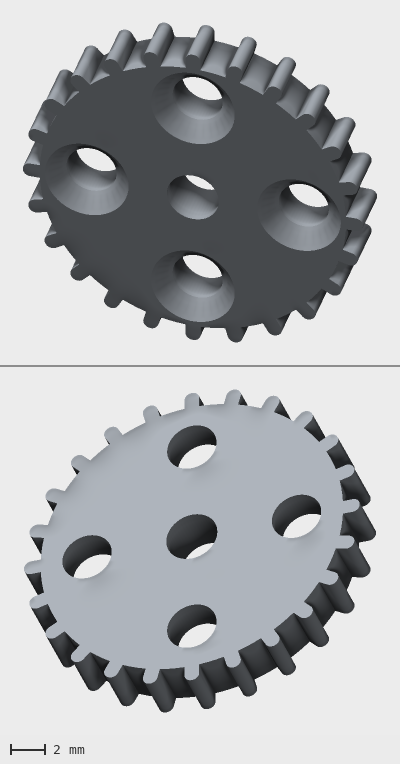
import cadquery as cq

TIP_DIAMETER = 20.35
THICKNESS = 3.0
BODY_DIAMETER = 18.35

TOOTH_COUNT = 24
TOOTH_WIDTH = 0.9
TOOTH_CORNER_RADIUS = 0.43
TOOTH_PITCH_ANGLE = 360.0 / TOOTH_COUNT

BORE_DIAMETER = 3.1
SCREW_HOLE_COUNT = 4
SCREW_HOLE_DIAMETER = 3.0
SCREW_CIRCLE_DIAMETER = 12.7
COUNTERSINK_DIAMETER = 5.0
COUNTERSINK_ANGLE = 90.0


def make_body():
    """Plain disc with its axis along Y, centred on the origin."""
    return cq.Workplane("XZ").circle(BODY_DIAMETER / 2).extrude(THICKNESS / 2, both=True)


def make_tooth(angle):
    """Bar from inside the rim out to the tip, turned about the wheel axis."""
    root_radius = BODY_DIAMETER / 2 - TOOTH_WIDTH
    length = TIP_DIAMETER / 2 - root_radius
    tooth = (
        cq.Workplane("XY")
        .box(length, THICKNESS, TOOTH_WIDTH)
        .edges("|Y and >X")
        .fillet(TOOTH_CORNER_RADIUS)
        .translate((root_radius + length / 2, 0, 0))
    )
    return tooth.rotate((0, 0, 0), (0, 1, 0), angle)


def cut_holes(wheel):
    """Central bore and a ring of through holes countersunk on the -Y face."""
    wheel = wheel.faces("<Y").workplane(origin=(0, 0, 0)).hole(BORE_DIAMETER)
    return (
        wheel.faces("<Y")
        .workplane(origin=(0, 0, 0))
        .polarArray(SCREW_CIRCLE_DIAMETER / 2, 0, 360, SCREW_HOLE_COUNT)
        .cskHole(SCREW_HOLE_DIAMETER, COUNTERSINK_DIAMETER, COUNTERSINK_ANGLE)
    )


wheel = make_body()
for index in range(TOOTH_COUNT):
    wheel = wheel.union(make_tooth(index * TOOTH_PITCH_ANGLE))

result = cut_holes(wheel)